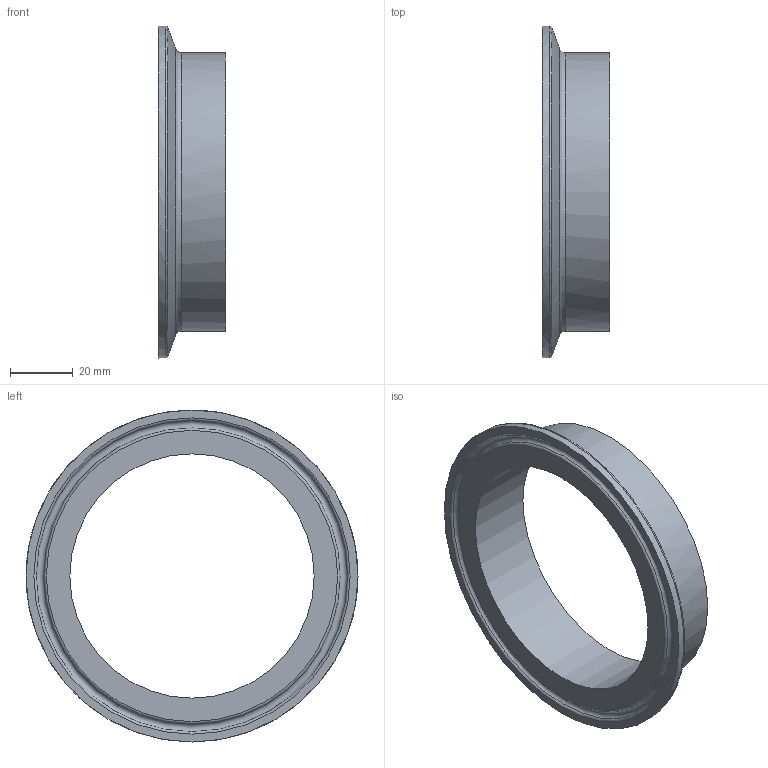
import cadquery as cq
import math


length = 21.5
bore_radius = 39.0
pipe_radius = 88.9 / 2
neck_fillet_radius = 2.0

flange_radius = 53.0
rim_thickness = 2.85
cone_angle = math.radians(20)
rim_round_radius = 0.8

groove_center_radius = 48.5
groove_bottom_radius = 1.25
groove_lip_radius = 0.8
groove_half_width = 2.0

slab_half_thickness = 0.01
slab_reach = 2 * flange_radius


def ring_at(x):
    """Selector for the circular edge lying in the plane at x."""
    return cq.selectors.BoxSelector(
        (x - slab_half_thickness, -slab_reach, -slab_reach),
        (x + slab_half_thickness, slab_reach, slab_reach),
        boundingbox=True,
    )


def revolve_about_x(profile):
    """Full turn of a profile drawn with its first coordinate along X and its second as radius."""
    return profile.close().revolve(360, (0, 0, 0), (1, 0, 0))


def ferrule_body():
    neck_x = rim_thickness + (flange_radius - pipe_radius) * math.tan(cone_angle)
    body = revolve_about_x(
        cq.Workplane("XZ")
        .moveTo(0, bore_radius)
        .lineTo(0, flange_radius)
        .lineTo(rim_thickness, flange_radius)
        .lineTo(neck_x, pipe_radius)
        .lineTo(length, pipe_radius)
        .lineTo(length, bore_radius)
    )
    body = body.edges(ring_at(neck_x)).fillet(neck_fillet_radius)
    return body.edges(ring_at(rim_thickness)).fillet(rim_round_radius)


def gasket_groove():
    blend_angle = math.asin(groove_half_width / (groove_bottom_radius + groove_lip_radius))
    depth = (groove_bottom_radius + groove_lip_radius) * (1 - math.cos(blend_angle))
    blend_x = groove_lip_radius * (1 - math.cos(blend_angle))
    blend_offset = groove_bottom_radius * math.sin(blend_angle)
    lip_mid_x = groove_lip_radius * (1 - math.cos(blend_angle / 2))
    lip_mid_offset = groove_half_width - groove_lip_radius * math.sin(blend_angle / 2)

    center = groove_center_radius
    return revolve_about_x(
        cq.Workplane("XZ")
        .moveTo(0, center - groove_half_width)
        .threePointArc((lip_mid_x, center - lip_mid_offset), (blend_x, center - blend_offset))
        .threePointArc((depth, center), (blend_x, center + blend_offset))
        .threePointArc((lip_mid_x, center + lip_mid_offset), (0, center + groove_half_width))
    )


result = ferrule_body().cut(gasket_groove())